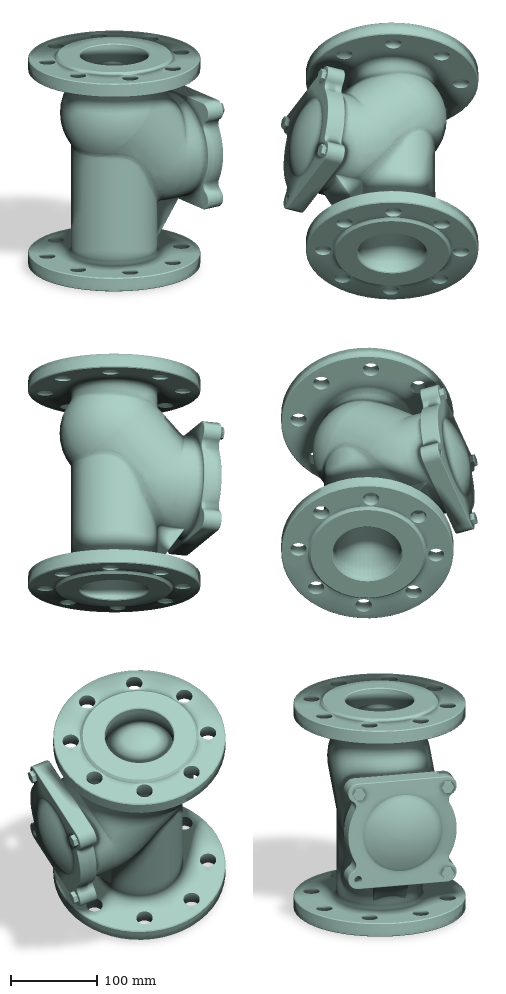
import cadquery as cq
import math

pick_margin = 0.3

height = 260.0
pipe_d = 100.0
bore_d = 80.0
bore_chamfer = 1.0
flange_d = 200.0
flange_edge_chamfer = 1.0
raised_d = 137.8
raised_height = 3.0
flange_thickness = 16.6
flange_hole_d = 19.0
flange_hole_count = 8
flange_hole_circle_d = 160.0
flange_fillet = 4.2
flange_total = raised_height + flange_thickness

chamber_d = 120.0
chamber_r = chamber_d / 2
ball_y = -3.6
ball_z = 189.8
branch_angle = 45.0
neck_z = 133.5
bend_radius = 31.0
chamber_fillet = 7.0

bend_tangent = bend_radius * math.tan(math.radians(branch_angle / 2))
axes_cross_y = ball_y + (ball_z - neck_z) / math.tan(math.radians(branch_angle))
pivot_y = axes_cross_y + bend_tangent
pivot_z = neck_z + bend_radius
branch_length = math.hypot(axes_cross_y - ball_y, ball_z - neck_z) - bend_tangent

neck_flange_y = 88.0
neck_flange_thickness = 9.0
cover_thickness = 12.5
joint_y = neck_flange_y + neck_flange_thickness
cover_face_y = joint_y + cover_thickness
joint_disc_r = 65.0
ear_r = 12.0
ear_offset = joint_disc_r - ear_r
ear_blend_r = 8.0
joint_edge_fillet = 1.0
neck_root_fillet = 2.0
dome_base_r = 46.8
dome_height = 12.5

rib_thickness = 39.0
rib_front_y = 77.7
rib_foot_z = 34.8
rib_sink = 6.5
rib_fillet = 1.3

bolt_d = 8.0
bolt_hole_d = 9.0
bolt_head_flats = 13.0
bolt_head_corners = bolt_head_flats / math.cos(math.radians(30))
bolt_head_height = 5.2
bolt_depth_in_housing = 6.5
bolt_end_y = joint_y - bolt_depth_in_housing

ear_positions = [
    (-ear_offset, neck_z - ear_offset),
    (-ear_offset, neck_z + ear_offset),
    (ear_offset, neck_z + ear_offset),
    (ear_offset, neck_z - ear_offset),
]
bolted_ears = ear_positions[:-1]


def cylinder_along_y(diameter, y_start, length, x, z):
    start = cq.Vector(x, y_start, z)
    return cq.Workplane(cq.Solid.makeCylinder(diameter / 2, length, start, cq.Vector(0, 1, 0)))


def end_flange():
    """Bottom flange: raised face with a conical rim, then the drilled disc."""
    c = flange_edge_chamfer
    profile = [
        (0, 0),
        (raised_d / 2 - raised_height, 0),
        (raised_d / 2, raised_height),
        (flange_d / 2 - c, raised_height),
        (flange_d / 2, raised_height + c),
        (flange_d / 2, flange_total - c),
        (flange_d / 2 - c, flange_total),
        (0, flange_total),
    ]
    disc = cq.Workplane("XZ").polyline(profile).close().revolve(360, (0, 0, 0), (0, 1, 0))
    first_angle = 180.0 / flange_hole_count
    holes = (
        cq.Workplane("XY")
        .polarArray(flange_hole_circle_d / 2, first_angle, 360, flange_hole_count)
        .circle(flange_hole_d / 2)
        .extrude(flange_total)
    )
    return disc.cut(holes)


def pick_box(x, y, z):
    """Selector for the edges that lie fully within the given (low, high) ranges."""
    low = [axis[0] - pick_margin for axis in (x, y, z)]
    high = [axis[1] + pick_margin for axis in (x, y, z)]
    return cq.selectors.BoxSelector(low, high, boundingbox=True)


def flanged_pipe():
    bottom_flange = end_flange()
    top_flange = bottom_flange.mirror("XY").translate((0, 0, height))
    pipe = cq.Workplane("XY").circle(pipe_d / 2).extrude(height)
    body = pipe.union(bottom_flange).union(top_flange)
    across = (-pipe_d / 2, pipe_d / 2)
    for z in (flange_total, height - flange_total):
        body = body.edges(pick_box(across, across, (z, z))).fillet(flange_fillet)
    return body


def elbow():
    """Outer side of the bend: a circle segment turned about the pivot through the branch angle."""
    half_chord = math.sqrt(chamber_r**2 - bend_radius**2)
    segment = (
        cq.Workplane("XZ", origin=(0, pivot_y, pivot_z))
        .moveTo(-half_chord, 0)
        .threePointArc((0, -bend_radius - chamber_r), (half_chord, 0))
        .close()
    )
    return segment.revolve(branch_angle, (0, 0, 0), (-1, 0, 0))


def chamber():
    ball = cq.Workplane("XY").sphere(chamber_r).translate((0, ball_y, ball_z))
    slope = math.radians(branch_angle)
    direction = cq.Vector(0, math.cos(slope), -math.sin(slope))
    branch = cq.Workplane(
        cq.Solid.makeCylinder(chamber_r, branch_length, cq.Vector(0, ball_y, ball_z), direction)
    )
    neck = cylinder_along_y(chamber_d, pivot_y, joint_y - pivot_y, 0, neck_z)
    return ball.union(branch).union(neck).union(elbow())


def rib():
    """Sloping web between neck and pipe, sunk into both."""
    neck_bottom = neck_z - chamber_r
    slope = (neck_bottom - rib_foot_z) / (rib_front_y - pipe_d / 2)
    profile = [
        (pipe_d / 2 - rib_sink, neck_bottom + rib_sink),
        (rib_front_y + rib_sink / slope, neck_bottom + rib_sink),
        (pipe_d / 2 - rib_sink, rib_foot_z - rib_sink * slope),
    ]
    return cq.Workplane("YZ").polyline(profile).close().extrude(rib_thickness / 2, both=True)


def round_rib(body):
    """Fillet the rib's sloping rims together with the seam around it."""
    around_rib = pick_box(
        (-rib_thickness / 2, rib_thickness / 2),
        (pipe_d / 2 - rib_sink, rib_front_y + rib_sink),
        (rib_foot_z - 2 * rib_sink, neck_z - chamber_r + rib_sink),
    )
    return body.edges(around_rib).fillet(rib_fillet)


def round_pipe_seam(body):
    """Fillet the edges along which the pipe wall meets the chamber."""
    across = (-pipe_d / 2, pipe_d / 2)
    along = (neck_z - chamber_r, height - flange_total - flange_fillet - 2 * pick_margin)
    return body.edges(pick_box(across, across, along)).fillet(chamber_fillet)


def round_neck_root(body):
    """Fillet the corner between the neck and the back of its bolting plate."""
    across = (-chamber_r, chamber_r)
    along = (neck_z - chamber_r, neck_z + chamber_r)
    root = pick_box(across, (neck_flange_y, neck_flange_y), along)
    return body.edges(root).fillet(neck_root_fillet)


def joint_plate(y_start, thickness):
    """Round plate with four bolt ears, flat above and below."""
    to_disc = joint_disc_r + ear_blend_r
    to_ear = ear_r + ear_blend_r
    ear_distance = ear_offset * math.sqrt(2)
    cosine = (to_disc**2 + ear_distance**2 - to_ear**2) / (2 * to_disc * ear_distance)
    blend_angle = math.radians(45) - math.acos(cosine)
    blend_x = to_disc * math.cos(blend_angle)
    blend_z = to_disc * math.sin(blend_angle)
    disc_x = joint_disc_r * math.cos(blend_angle)
    disc_z = joint_disc_r * math.sin(blend_angle)
    ear_x = blend_x + (ear_offset - blend_x) * ear_blend_r / to_ear
    ear_z = blend_z + (ear_offset - blend_z) * ear_blend_r / to_ear
    mid_x = (disc_x + ear_x) / 2 - blend_x
    mid_z = (disc_z + ear_z) / 2 - blend_z
    stretch = ear_blend_r / math.hypot(mid_x, mid_z)
    mid = (blend_x + mid_x * stretch, blend_z + mid_z * stretch)
    ear_tip = ear_offset + ear_r / math.sqrt(2)
    disc_mid_x = joint_disc_r * math.cos(blend_angle / 2)
    disc_mid_z = joint_disc_r * math.sin(blend_angle / 2)

    quarter = (
        cq.Workplane("XZ", origin=(0, y_start, 0))
        .lineTo(joint_disc_r, 0)
        .threePointArc((disc_mid_x, disc_mid_z), (disc_x, disc_z))
        .threePointArc(mid, (ear_x, ear_z))
        .threePointArc((ear_tip, ear_tip), (ear_offset, joint_disc_r))
        .lineTo(0, joint_disc_r)
        .close()
        .extrude(-thickness)
    )
    half = quarter.union(quarter.mirror("YZ"))
    return half.union(half.mirror("XY")).translate((0, 0, neck_z))


def bore(solid_chamber):
    """Straight bore from both end faces up to the chamber, with chamfered mouths."""
    mouth_r = bore_d / 2 + bore_chamfer
    profile = [
        (0, 0),
        (mouth_r, 0),
        (bore_d / 2, bore_chamfer),
        (bore_d / 2, height - bore_chamfer),
        (mouth_r, height),
        (0, height),
    ]
    straight = cq.Workplane("XZ").polyline(profile).close().revolve(360, (0, 0, 0), (0, 1, 0))
    return straight.cut(solid_chamber)


def make_housing():
    solid_chamber = chamber()
    body = round_pipe_seam(flanged_pipe().union(solid_chamber))
    body = round_rib(body.union(rib()))
    plate = joint_plate(neck_flange_y, neck_flange_thickness)
    body = body.union(plate.faces("<Y").edges().fillet(joint_edge_fillet))
    body = round_neck_root(body)
    body = body.cut(bore(solid_chamber))
    for x, z in ear_positions:
        body = body.cut(cylinder_along_y(bolt_d, bolt_end_y, bolt_depth_in_housing, x, z))
    return body


def make_cover():
    body = joint_plate(joint_y, cover_thickness).faces(">Y").edges().fillet(joint_edge_fillet)
    dome_r = (dome_base_r**2 + dome_height**2) / (2 * dome_height)
    dome_mid = dome_r * math.sin(math.asin(dome_base_r / dome_r) / 2)
    dome_mid_y = math.sqrt(dome_r**2 - dome_mid**2) - dome_r + dome_height
    dome = (
        cq.Workplane("XY", origin=(0, cover_face_y, neck_z))
        .lineTo(dome_base_r, 0)
        .threePointArc((dome_mid, dome_mid_y), (0, dome_height))
        .close()
        .revolve(360, (0, 0, 0), (0, 1, 0))
    )
    body = body.union(dome)
    for x, z in ear_positions:
        body = body.cut(cylinder_along_y(bolt_hole_d, joint_y, cover_thickness, x, z))
    return body


def make_bolt(x, z):
    head = (
        cq.Workplane("XZ", origin=(x, cover_face_y, z))
        .polygon(6, bolt_head_corners)
        .extrude(-bolt_head_height)
    )
    length = cover_thickness + bolt_depth_in_housing
    return head.union(cylinder_along_y(bolt_d, bolt_end_y, length, x, z))


housing = make_housing()
cover = make_cover()
bolts = [make_bolt(x, z).val() for x, z in bolted_ears]

result = cq.Compound.makeCompound([housing.val(), cover.val(), *bolts])